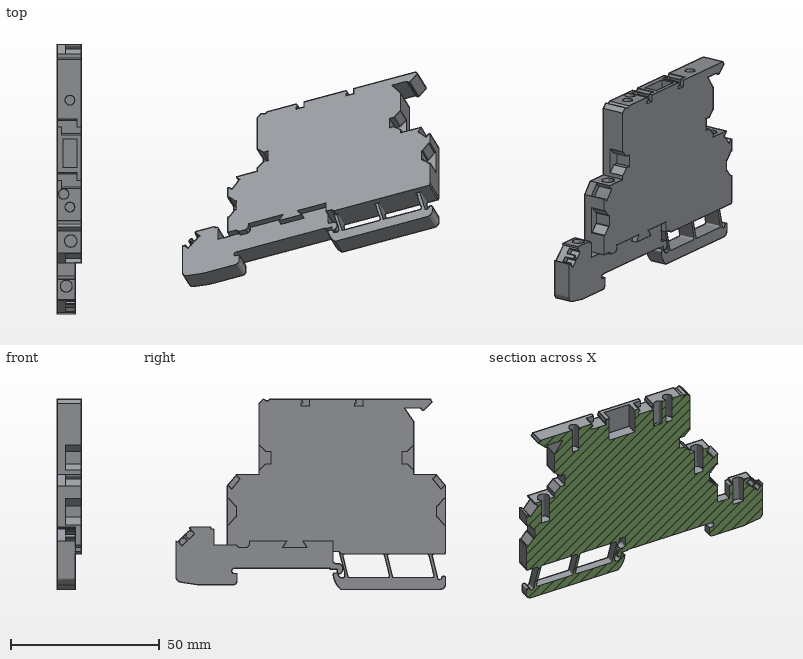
import cadquery as cq
import math


length = 90.7
height = 64.05
body_width = 8.1
foot_width = 6.1

body_front = 17.2
body_mid = (body_front + length) / 2
tower_front = 27.9
tower_rear = 2 * body_mid - tower_front
shoulder_z = 38.7
shoulder_flat_end = 20.5
shoulder_chamfer_z = 34.8
body_bottom_z = 11.9
gap_top_z = 12.7
bar_bottom_z = 61.0

joint_rear = 52.9
joint_top_z = 16.3
joint_floor_z = 14.1
joint_front_z = 15.0
nose_points = [
    (20.4, joint_front_z),
    (21.2, joint_floor_z),
    (23.9, joint_floor_z),
    (24.7, 14.9),
    (24.8, joint_top_z),
]
dovetail_mid = 40.0
dovetail_neck = 5.35
dovetail_base = 8.35

clip_top_z = 4.1
cell_count = 2
cell_top_rear = 85.0
cell_width = 14.0
cell_pitch = 15.0
cell_lean = 1.9
cell_corner_radius = 0.45

groove_middles = (63.0, 44.9)
groove_reach = 2.8
groove_floor_z = 61.8
groove_cheek = 1.4
tooth_size = 0.6

grip_left = 2.8
pocket_taper_run = 2.2
tower_pocket_low, tower_pocket_high = 40.1, 48.6
tower_pocket_depth, tower_pocket_lip, tower_pocket_taper = 4.0, 0.1, 2.2
body_pocket_low, body_pocket_high = 21.8, 30.7
body_pocket_depth, body_pocket_lip, body_pocket_taper = 3.1, 0.5, 2.5

hole_depth = 9.1
window_left, window_right = 2.0, 6.7
window_front, window_rear = 49.3, 58.9
tower_screw_offset = 18.0
tower_screw_radius = 1.6
tower_screw_x = 4.3
shoulder_screw_offset = 29.4
shoulder_screw_radius = 2.1
shoulder_screw_x = 4.5
lamp_x, lamp_y, lamp_radius = 2.2, 40.4, 1.7
foot_top_z = 21.05
foot_screw_y, foot_screw_radius = 9.4, 2.0

foot_chamfer_low = (0.5, 16.0)
foot_chamfer_high = (5.1, 20.3)
foot_groove_spans = ((0.09, 0.37), (0.59, 0.91))
foot_groove_depth = 2.0
foot_groove_lip = 0.5
foot_groove_undercut = 0.4


def prism(outline, left, right):
    """Extrude a closed YZ outline from X = left to X = right."""
    return outline.close().extrude(right - left).translate((left, 0, 0))


def polygon_prism(points, left, right):
    return prism(cq.Workplane("YZ").polyline(points), left, right)


def mirrored_to_rear(shape):
    """The shape together with its mirror image about the middle of the body."""
    return shape.union(shape.mirror("XZ", (0, body_mid, 0)))


def blind_hole(x, y, top_z, radius):
    plane = cq.Workplane("XY").workplane(offset=top_z)
    return plane.center(x, y).circle(radius).extrude(-hole_depth)


def make_body():
    shoulder_run = shoulder_flat_end - body_front
    outline = (
        cq.Workplane("YZ")
        .moveTo(body_front, joint_front_z)
        .lineTo(body_front, shoulder_chamfer_z)
        .lineTo(shoulder_flat_end, shoulder_z)
        .lineTo(tower_front, shoulder_z)
        .lineTo(tower_front, 62.5)
        .lineTo(29.4, height)
        .lineTo(30.4, height - 0.5)
        .threePointArc((31.1, height - 0.45), (31.6, height))
        .lineTo(85.55, height)
        .lineTo(86.2, 63.05)
        .lineTo(83.4, 60.2)
        .lineTo(82.9, 60.2)
        .lineTo(82.2, bar_bottom_z)
        .lineTo(76.9, bar_bottom_z)
        .lineTo(tower_rear, 56.4)
        .lineTo(tower_rear, shoulder_z)
        .lineTo(length - shoulder_run, shoulder_z)
        .lineTo(length, shoulder_chamfer_z)
        .lineTo(length, 12.6)
        .lineTo(90.45, body_bottom_z)
        .lineTo(55.8, body_bottom_z)
        .lineTo(54.9, gap_top_z)
        .lineTo(joint_rear, gap_top_z)
        .lineTo(joint_rear, joint_top_z)
        .lineTo(dovetail_mid + dovetail_neck / 2, joint_top_z)
        .lineTo(dovetail_mid + dovetail_base / 2, joint_floor_z)
        .lineTo(dovetail_mid - dovetail_base / 2, joint_floor_z)
        .lineTo(dovetail_mid - dovetail_neck / 2, joint_top_z)
        .polyline(nose_points[::-1], includeCurrent=True)
    )
    return prism(outline, 0, body_width)


def make_rail_clip():
    outline = (
        cq.Workplane("YZ")
        .moveTo(86.8, body_bottom_z)
        .threePointArc((86.4, 11.7), (86.3, 11.2))
        .lineTo(88.0, clip_top_z)
        .threePointArc((88.7, 3.4), (89.4, 3.9))
        .threePointArc((90.1, 4.5), (length, 3.9))
        .lineTo(length, 1.8)
        .threePointArc((90.2, 0.5), (88.9, 0))
        .lineTo(55.5, 0)
        .threePointArc((53.6, 2.45), (52.9, 4.8))
        .threePointArc((53.0, 5.35), (53.4, 5.6))
        .lineTo(54.25, 5.6)
        .lineTo(54.8, 4.6)
        .threePointArc((55.2, 4.2), (55.7, 4.0))
        .lineTo(56.3, 4.0)
        .threePointArc((56.7, 4.3), (56.8, 4.7))
        .lineTo(56.7, 5.9)
        .lineTo(55.0, 12.3)
        .lineTo(54.9, gap_top_z)
        .lineTo(57.15, gap_top_z)
        .lineTo(86.8, gap_top_z)
    )
    clip = prism(outline, 0, foot_width)
    for index in range(cell_count):
        top_rear = cell_top_rear - index * cell_pitch
        corners = [
            (top_rear, body_bottom_z),
            (top_rear - cell_width, body_bottom_z),
            (top_rear - cell_width + cell_lean, clip_top_z),
            (top_rear + cell_lean, clip_top_z),
        ]
        cell = polygon_prism(corners, 0, foot_width).edges("|X").fillet(cell_corner_radius)
        clip = clip.cut(cell)
    return clip


def make_foot():
    outline = (
        cq.Workplane("YZ")
        .moveTo(0, 4.35)
        .lineTo(0, joint_top_z)
        .lineTo(*foot_chamfer_low)
        .lineTo(*foot_chamfer_high)
        .lineTo(4.5, 20.7)
        .lineTo(4.9, foot_top_z)
        .lineTo(11.7, foot_top_z)
        .lineTo(11.9, 20.4)
        .lineTo(12.5, 20.4)
        .threePointArc((12.8, 20.2), (12.9, 19.9))
        .lineTo(12.9, joint_front_z)
        .polyline(nose_points, includeCurrent=True)
        .lineTo(joint_rear, joint_top_z)
        .lineTo(joint_rear, 9.6)
        .threePointArc((53.2, 9.0), (53.8, 8.7))
        .lineTo(55.0, 8.7)
        .threePointArc((56.1, 7.5), (55.25, 5.3))
        .lineTo(54.25, 5.3)
        .lineTo(54.25, 6.8)
        .lineTo(51.9, 6.8)
        .lineTo(51.9, 7.1)
        .lineTo(19.6, 7.1)
        .threePointArc((18.8, 6.3), (19.6, 5.4))
        .lineTo(20.6, 5.4)
        .lineTo(20.6, 3.0)
        .threePointArc((20.2, 2.0), (19.2, 1.5))
        .lineTo(7.5, 1.5)
        .lineTo(1.5, 2.45)
        .threePointArc((0.45, 3.1), (0, 4.35))
    )
    return prism(outline, 0, foot_width)


def make_bar_groove(middle):
    """Z-shaped groove: two half-length slots, each with a tooth on its end wall."""
    side = [
        (middle, groove_floor_z),
        (middle + groove_reach, groove_floor_z),
        (middle + groove_reach, height - 1.5),
        (middle + groove_reach - tooth_size, height - 1.1),
        (middle + groove_reach - tooth_size / 5, height - 0.2),
        (middle + groove_reach - tooth_size / 5, height),
        (middle, height),
    ]
    rear_half = polygon_prism(side, 0, body_width - groove_cheek)
    axis_start = (body_width / 2, middle, 0)
    axis_end = (body_width / 2, middle, 1)
    return rear_half.union(rear_half.rotate(axis_start, axis_end, 180))


def make_wire_pocket(mouth_y, low_z, high_z, depth, lip, taper):
    """Opening in a front wall that narrows by taper at top and bottom, behind a straight lip."""
    taper_start = mouth_y + lip
    taper_end = taper_start + pocket_taper_run
    side = [
        (mouth_y, low_z),
        (taper_start, low_z),
        (taper_end, low_z + taper),
        (mouth_y + depth, low_z + taper),
        (mouth_y + depth, high_z - taper),
        (taper_end, high_z - taper),
        (taper_start, high_z),
        (mouth_y, high_z),
    ]
    return polygon_prism(side, grip_left, body_width)


def make_shoulder_grip():
    """Undercut recess in the shoulder chamfer with a rounded lip at each end."""
    outline = (
        cq.Workplane("YZ")
        .moveTo(body_front, shoulder_chamfer_z)
        .lineTo(shoulder_flat_end, shoulder_z)
        .threePointArc((20.5, 38.4), (20.7, 38.0))
        .lineTo(21.6, 37.2)
        .lineTo(18.8, 33.75)
        .lineTo(18.0, 34.7)
        .threePointArc((17.6, 34.8), (body_front, shoulder_chamfer_z))
    )
    return prism(outline, grip_left, body_width)


def make_foot_groove(span):
    """T-shaped groove cut at right angles into the foot chamfer, wider below its lips."""
    run = foot_chamfer_high[0] - foot_chamfer_low[0]
    rise = foot_chamfer_high[1] - foot_chamfer_low[1]
    slope_length = math.hypot(run, rise)
    low = span[0] * slope_length
    high = span[1] * slope_length

    def point(along, depth):
        """YZ point at a distance up the chamfer and a depth below it."""
        y = foot_chamfer_low[0] + (along * run + depth * rise) / slope_length
        z = foot_chamfer_low[1] + (along * rise - depth * run) / slope_length
        return y, z

    corners = [
        point(low, 0),
        point(high, 0),
        point(high, foot_groove_lip),
        point(high + foot_groove_undercut, foot_groove_lip),
        point(high + foot_groove_undercut, foot_groove_depth),
        point(low - foot_groove_undercut, foot_groove_depth),
        point(low - foot_groove_undercut, foot_groove_lip),
        point(low, foot_groove_lip),
    ]
    return polygon_prism(corners, grip_left, foot_width)


result = make_body().union(make_rail_clip()).union(make_foot())

for groove_middle in groove_middles:
    result = result.cut(make_bar_groove(groove_middle))

tower_pocket = make_wire_pocket(
    tower_front,
    tower_pocket_low,
    tower_pocket_high,
    tower_pocket_depth,
    tower_pocket_lip,
    tower_pocket_taper,
)
body_pocket = make_wire_pocket(
    body_front,
    body_pocket_low,
    body_pocket_high,
    body_pocket_depth,
    body_pocket_lip,
    body_pocket_taper,
)
for opening in (tower_pocket, body_pocket, make_shoulder_grip()):
    result = result.cut(mirrored_to_rear(opening))

for groove_span in foot_groove_spans:
    result = result.cut(make_foot_groove(groove_span))

tower_screw = blind_hole(tower_screw_x, body_mid - tower_screw_offset, height, tower_screw_radius)
shoulder_screw = blind_hole(
    shoulder_screw_x, body_mid - shoulder_screw_offset, shoulder_z, shoulder_screw_radius
)
result = result.cut(mirrored_to_rear(tower_screw))
result = result.cut(mirrored_to_rear(shoulder_screw))

result = result.cut(blind_hole(lamp_x, lamp_y, height, lamp_radius))
result = result.cut(blind_hole(foot_width / 2, foot_screw_y, foot_top_z, foot_screw_radius))

window = cq.Workplane("XY").box(
    window_right - window_left, window_rear - window_front, hole_depth, centered=False
)
result = result.cut(window.translate((window_left, window_front, height - hole_depth)))